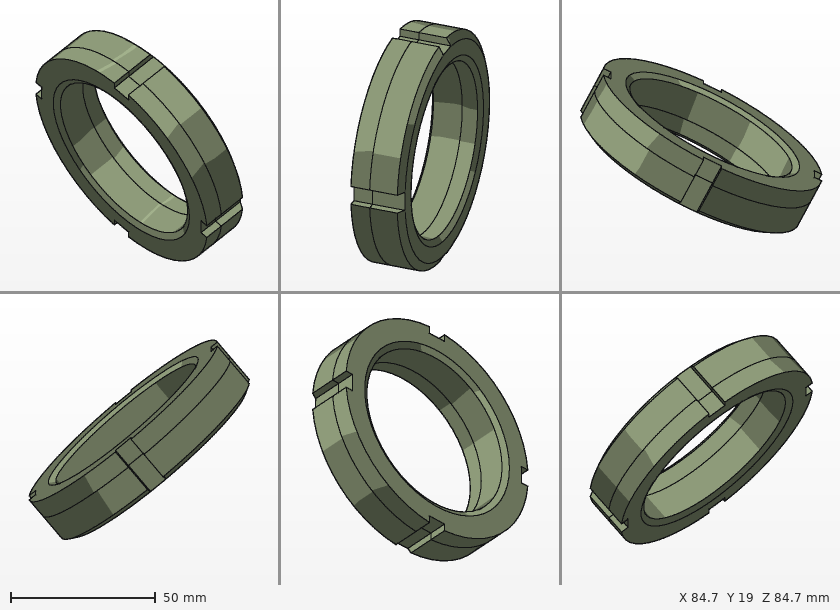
import cadquery as cq
import math

outer_diameter = 85.0
bore_diameter = 63.0
total_width = 19.0
outer_radius = outer_diameter / 2
bore_radius = bore_diameter / 2

slot_count = 4
slot_width = 7.0
slot_depth = 3.0
slot_floor_radius = outer_radius - slot_depth

chamfer_angle = math.radians(30)
bore_chamfer_radial = 2.25
bore_chamfer_axial = bore_chamfer_radial * math.tan(chamfer_angle)
rim_chamfer_radial = slot_depth
rim_chamfer_axial = rim_chamfer_radial * math.tan(chamfer_angle)
bore_mouth_radius = bore_radius + bore_chamfer_radial
rim_edge_radius = outer_radius - rim_chamfer_radial

front_rim_width = 7.0
spigot_length = 5.0
spigot_radius = (bore_radius + slot_floor_radius) / 2

front_y = 0.0
joint_y = front_y + front_rim_width
spigot_end_y = joint_y + spigot_length
back_y = front_y + total_width


def revolve_about_y(profile):
    """Turn a closed (radius, y) profile into a full ring about the Y axis."""
    return cq.Workplane("XY").polyline(profile).close().revolve(360, (0, 0), (0, 1))


def cut_slots(ring):
    """Cut the equally spaced wrench slots into the rim of a ring."""
    cutter = (
        cq.Workplane("XY")
        .box(2 * slot_depth, total_width, slot_width, centered=(False, False, True))
        .translate((slot_floor_radius, front_y, 0))
    )
    for i in range(slot_count):
        angle = i * 360 / slot_count
        ring = ring.cut(cutter.rotate((0, 0, 0), (0, 1, 0), angle))
    return ring


def make_front_ring():
    """Front ring with a chamfered bore mouth and a spigot at its back."""
    ring = revolve_about_y([
        (bore_mouth_radius, front_y),
        (outer_radius, front_y),
        (outer_radius, joint_y),
        (spigot_radius, joint_y),
        (spigot_radius, spigot_end_y),
        (bore_radius, spigot_end_y),
        (bore_radius, front_y + bore_chamfer_axial),
    ])
    return cut_slots(ring)


def make_rear_ring():
    """Rear ring with a recess for the spigot and chamfers on its back face."""
    ring = revolve_about_y([
        (spigot_radius, joint_y),
        (outer_radius, joint_y),
        (outer_radius, back_y - rim_chamfer_axial),
        (rim_edge_radius, back_y),
        (bore_mouth_radius, back_y),
        (bore_radius, back_y - bore_chamfer_axial),
        (bore_radius, spigot_end_y),
        (spigot_radius, spigot_end_y),
    ])
    return cut_slots(ring)


front_ring = make_front_ring()
rear_ring = make_rear_ring()

result = cq.Compound.makeCompound([front_ring.val(), rear_ring.val()])